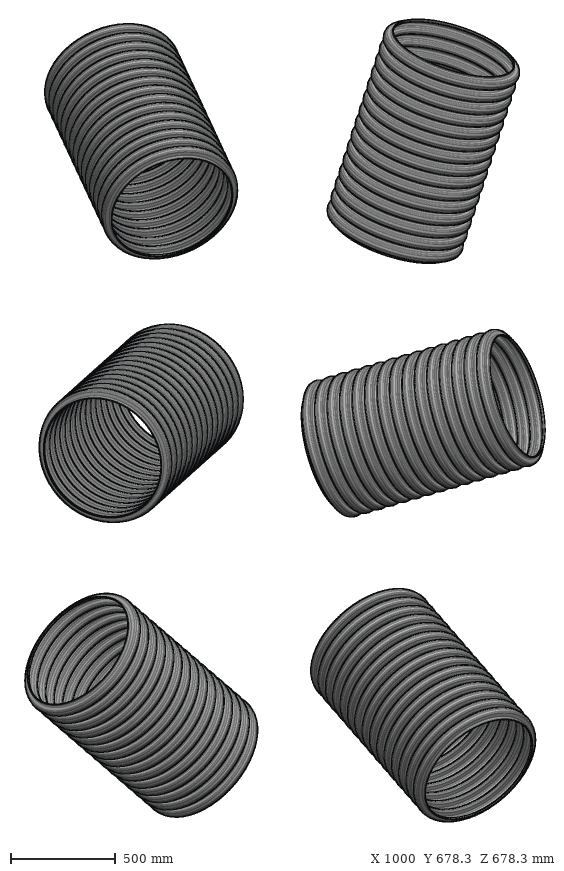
import cadquery as cq
import math

pipe_length = 1000.0
bore_diameter = 600.0
valley_diameter = 607.99
crest_diameter = 678.29
corrugation_count = 15
corrugation_pitch = 66.0
crown_width = 28.6
crown_slope = math.radians(15.0)
ridge_radius = 6.0
shoulder_radius = 10.0
root_radius = 6.0
flank_slope = math.radians(8.0)

bore_radius = bore_diameter / 2
valley_radius = valley_diameter / 2
crest_radius = crest_diameter / 2
wall = valley_radius - bore_radius
half_length = pipe_length / 2

ridge_center_r = crest_radius - ridge_radius
apex_radius = ridge_center_r + ridge_radius / math.cos(crown_slope)

crown_edge_r = apex_radius - crown_width / 2 * math.tan(crown_slope)
shoulder_offset = crown_width / 2 - shoulder_radius * math.sin(crown_slope)
shoulder_center_r = crown_edge_r - shoulder_radius * math.cos(crown_slope)

root_center_r = valley_radius + root_radius
shoulder_to_root_r = shoulder_center_r - root_center_r
root_offset = shoulder_offset + (
    shoulder_radius + root_radius + shoulder_to_root_r * math.sin(flank_slope)
) / math.cos(flank_slope)

first_crest = -(corrugation_count - 1) / 2 * corrugation_pitch
crest_positions = [first_crest + i * corrugation_pitch for i in range(corrugation_count)]


def arc_points(center, radius, start, end):
    """Start, middle and end points of an arc between two angles."""
    angles = (start, (start + end) / 2, end)
    return [(center[0] + radius * math.cos(a), center[1] + radius * math.sin(a)) for a in angles]


def corrugation_arcs(depth):
    """Arcs of one corrugation in order of rising X, at a depth below the outer skin.

    Each arc is three points, given as (axial distance from the crest, radius).
    """
    up = math.pi / 2
    root = arc_points((-root_offset, root_center_r), root_radius + depth, -up, -flank_slope)
    shoulder = arc_points(
        (-shoulder_offset, shoulder_center_r),
        shoulder_radius - depth,
        math.pi - flank_slope,
        up + crown_slope,
    )
    ridge = arc_points(
        (0, ridge_center_r), ridge_radius - depth, up + crown_slope, up - crown_slope
    )
    rising = [root, shoulder]
    falling = [[(-x, r) for x, r in reversed(arc)] for arc in reversed(rising)]
    return rising + [ridge] + falling


def skin_arcs(depth):
    """Arcs of all corrugations along the pipe, at a depth below the outer skin."""
    one_corrugation = corrugation_arcs(depth)
    return [
        [(position + x, r) for x, r in arc] for position in crest_positions for arc in one_corrugation
    ]


def draw_arcs(profile, arcs):
    """Continue the profile along the arcs, joined by straight lines."""
    for start, middle, end in arcs:
        profile = profile.lineTo(*start).threePointArc(middle, end)
    return profile


def wall_profile():
    """Half section of the corrugated wall, above the pipe axis."""
    outer = skin_arcs(0)
    inner = [list(reversed(arc)) for arc in reversed(skin_arcs(wall))]
    profile = cq.Workplane("XY").moveTo(-half_length, bore_radius)
    profile = draw_arcs(profile.lineTo(-half_length, valley_radius), outer)
    profile = profile.lineTo(half_length, valley_radius).lineTo(half_length, bore_radius)
    return draw_arcs(profile, inner).close()


result = wall_profile().revolve(360, (0, 0, 0), (1, 0, 0))